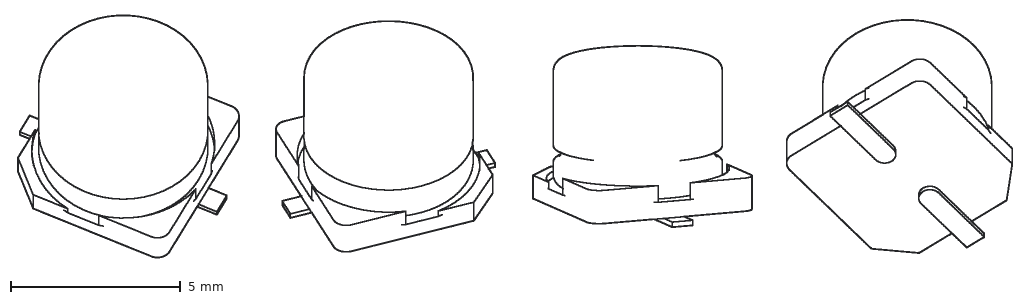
import cadquery as cq
import math

overall_length = 6.5
overall_height = 4.4

lead_thickness = 0.155
lead_width = 0.66
lead_gap = 1.495

base_side = 5.3
base_low_top = 0.86
base_high_top = 1.16
base_chamfer = 1.0
base_corner_radius = 0.4
recess_floor = 0.655
recess_radius = 2.7

can_radius = 5.0 / 2
can_top_fillet = 0.33
can_bottom_fillet = 0.325
groove_center_height = 1.6
groove_height = 0.51
groove_depth = 0.215
groove_lip_radius = 0.045


def make_base():
    """Square base with two heights, cut corners on -X and a round recess."""
    outline = (
        cq.Workplane("XY")
        .workplane(offset=lead_thickness)
        .rect(base_side, base_side)
        .extrude(base_high_top - lead_thickness)
    )
    outline = outline.edges("|Z and <X").chamfer(base_chamfer)
    outline = outline.edges("|Z and >X").fillet(base_corner_radius)
    low_half = (
        cq.Workplane("XY")
        .box(base_side, base_side, base_high_top, centered=(False, True, False))
        .translate((-base_side, 0, base_low_top))
    )
    recess = (
        cq.Workplane("XY")
        .workplane(offset=recess_floor)
        .circle(recess_radius)
        .extrude(base_high_top)
    )
    return outline.cut(low_half).cut(recess)


def make_can():
    """Round can with rounded rims and a crimped groove that has rounded lips."""
    half_groove = groove_height / 2
    groove_bottom = groove_center_height - half_groove
    groove_top = groove_center_height + half_groove
    lip_center_radius = can_radius - groove_lip_radius

    depth_past_lip_center = groove_depth - groove_lip_radius
    groove_arc_radius = (depth_past_lip_center**2 + half_groove**2 - groove_lip_radius**2) / (2 * groove_depth)
    groove_arc_offset = groove_arc_radius - depth_past_lip_center
    lip_angle = math.atan2(half_groove, groove_arc_offset)
    lip_reach = groove_lip_radius * math.cos(lip_angle)
    lip_rise = groove_lip_radius * math.sin(lip_angle)
    lip_end_radius = lip_center_radius + lip_reach
    lower_lip_end = (lip_end_radius, groove_bottom + lip_rise)
    upper_lip_end = (lip_end_radius, groove_top - lip_rise)

    profile = (
        cq.Workplane("XZ")
        .moveTo(0, recess_floor)
        .lineTo(can_radius - can_bottom_fillet, recess_floor)
        .radiusArc((can_radius, recess_floor + can_bottom_fillet), -can_bottom_fillet)
        .lineTo(can_radius, groove_bottom)
        .radiusArc(lower_lip_end, -groove_lip_radius)
        .threePointArc((can_radius - groove_depth, groove_center_height), upper_lip_end)
        .radiusArc((can_radius, groove_top), -groove_lip_radius)
        .lineTo(can_radius, overall_height - can_top_fillet)
        .radiusArc((can_radius - can_top_fillet, overall_height), -can_top_fillet)
        .lineTo(0, overall_height)
        .close()
    )
    return profile.revolve(360, (0, 0, 0), (0, 1, 0))


def make_lead(side):
    """Lead on the +X (side = 1) or -X (side = -1) end."""
    length = (overall_length - lead_gap) / 2
    lead = (
        cq.Workplane("XY")
        .box(length, lead_width, lead_thickness, centered=(True, True, False))
        .translate((side * (lead_gap + length) / 2, 0, 0))
    )
    round_end_center = side * (lead_gap + lead_width) / 2
    round_end = (
        cq.Workplane("XY").center(round_end_center, 0).circle(lead_width / 2).extrude(lead_thickness)
    )
    square_end = (
        cq.Workplane("XY")
        .box(lead_width / 2, lead_width, lead_thickness, centered=(True, True, False))
        .translate((side * (lead_gap / 2 + lead_width / 4), 0, 0))
    )
    return lead.cut(square_end).union(round_end)


result = make_base().union(make_can()).union(make_lead(-1)).union(make_lead(1))